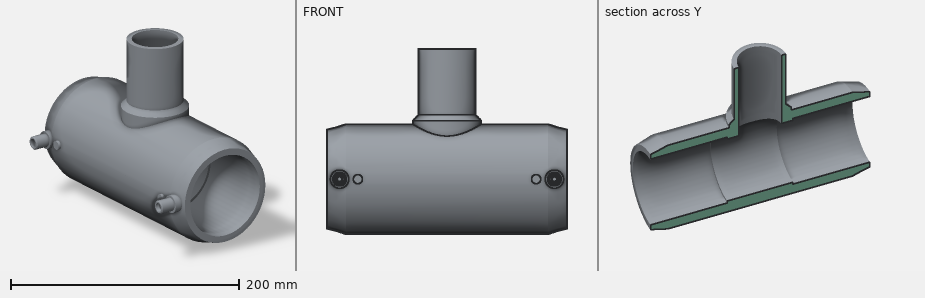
import cadquery as cq

BODY_LENGTH = 210.5
BODY_DIAMETER = 96.5
END_DIAMETER = 87.0
TAPER_LENGTH = 16.6
BORE_DIAMETER = 70.5
SOCKET_DIAMETER = 75.0
STOP_WIDTH = 63.2

BRANCH_TOP = 114.0
BRANCH_DIAMETER = 50.0
BRANCH_BORE = 40.8
COLLAR_DIAMETER = 60.0
COLLAR_TOP = 51.4

TERMINAL_X = 94.0
TERMINAL_REACH = 64.0
TERMINAL_DIAMETER = 12.0
TERMINAL_CHAMFER = 0.8
TERMINAL_SOCKET_DIAMETER = 8.0
TERMINAL_SOCKET_DEPTH = 10.5
CONTACT_DIAMETER = 5.0
CONTACT_RECESS = 4.2
CONTACT_CHAMFER = 0.5
BASE_DIAMETER = 16.0
BASE_REACH = 51.0
BUTTON_X = 78.0
BUTTON_DIAMETER = 8.0
BUTTON_REACH = 50.7

WALL_MIDDLE = (BODY_DIAMETER + SOCKET_DIAMETER) / 4
ROOT_REACH = (END_DIAMETER + SOCKET_DIAMETER) / 4


def pipe_body():
    """Solid main pipe with both ends tapered."""
    half = BODY_LENGTH / 2
    shoulder = half - TAPER_LENGTH
    profile = [
        (-half, 0),
        (-half, END_DIAMETER / 2),
        (-shoulder, BODY_DIAMETER / 2),
        (shoulder, BODY_DIAMETER / 2),
        (half, END_DIAMETER / 2),
        (half, 0),
    ]
    return cq.Workplane("XY").polyline(profile).close().revolve(360, (0, 0, 0), (1, 0, 0))


def branch():
    """Solid branch pipe with a 45 degree shoulder above its collar."""
    shoulder_top = COLLAR_TOP + (COLLAR_DIAMETER - BRANCH_DIAMETER) / 2
    profile = [
        (0, 0),
        (COLLAR_DIAMETER / 2, 0),
        (COLLAR_DIAMETER / 2, COLLAR_TOP),
        (BRANCH_DIAMETER / 2, shoulder_top),
        (BRANCH_DIAMETER / 2, BRANCH_TOP),
        (0, BRANCH_TOP),
    ]
    return cq.Workplane("XZ").polyline(profile).close().revolve(360, (0, 0, 0), (0, 1, 0))


def rod_along_x(diameter, start, length):
    """Cylinder on the main pipe axis."""
    return cq.Workplane("YZ", origin=(start, 0, 0)).circle(diameter / 2).extrude(length)


def rod_toward_front(x, diameter, start, end):
    """Cylinder pointing along -Y between two distances from the pipe axis."""
    return cq.Workplane("XZ", origin=(x, -start, 0)).circle(diameter / 2).extrude(end - start)


def terminal(x):
    """Shrouded terminal with a recessed contact pin."""
    base = rod_toward_front(x, BASE_DIAMETER, ROOT_REACH, BASE_REACH)
    shroud = rod_toward_front(x, TERMINAL_DIAMETER, ROOT_REACH, TERMINAL_REACH)
    shroud = shroud.faces("<Y").chamfer(TERMINAL_CHAMFER)
    floor = TERMINAL_REACH - TERMINAL_SOCKET_DEPTH
    socket = rod_toward_front(x, TERMINAL_SOCKET_DIAMETER, floor, TERMINAL_REACH)
    contact = rod_toward_front(x, CONTACT_DIAMETER, ROOT_REACH, TERMINAL_REACH - CONTACT_RECESS)
    contact = contact.faces("<Y").chamfer(CONTACT_CHAMFER)
    return base.union(shroud).cut(socket).union(contact)


result = pipe_body().union(branch())

socket_depth = (BODY_LENGTH - STOP_WIDTH) / 2
result = result.cut(rod_along_x(BORE_DIAMETER, -BODY_LENGTH / 2, BODY_LENGTH))
for socket_start in (-BODY_LENGTH / 2, STOP_WIDTH / 2):
    result = result.cut(rod_along_x(SOCKET_DIAMETER, socket_start, socket_depth))
result = result.cut(cq.Workplane("XY").circle(BRANCH_BORE / 2).extrude(BRANCH_TOP))

for side in (-1, 1):
    result = result.union(terminal(side * TERMINAL_X))
    button = rod_toward_front(side * BUTTON_X, BUTTON_DIAMETER, WALL_MIDDLE, BUTTON_REACH)
    result = result.union(button)